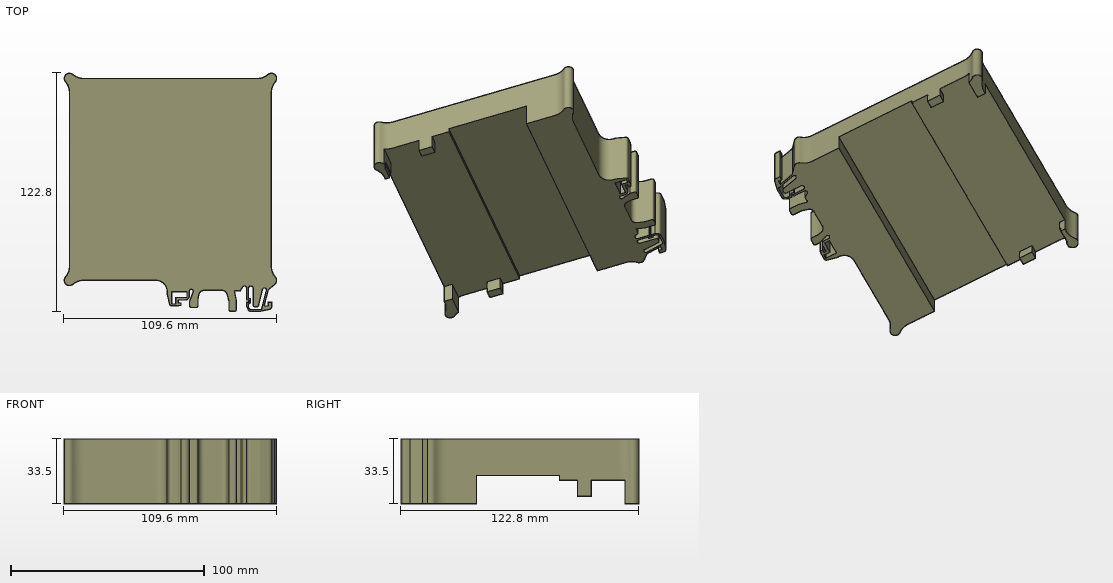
import cadquery as cq
import math

HEIGHT = 33.5
OUTER_HALF = 54.8
BEAD_RADIUS = 2.7
BODY_HALF = OUTER_HALF - BEAD_RADIUS
FLARE_LENGTH = 7.4

REAR_STEP_Z = 12.0
MIDDLE_STEP_Z = 14.5
TAB_BOTTOM_Z = 3.8
FRONT_BLOCK_Y = -29.0
MIDDLE_STEP_Y = 13.8

TAB_Y = (23.0, 30.2)
TAB_THICKNESS = 4.0
LEG_INNER_X = 43.2
LEFT_LEG_Y = 49.0
RIGHT_LEG_Y = 47.5
RECESS_OUTER_X = 50.5
RECESS_HEIGHT = 3.8
RECESS_DEPTH = 0.6

FOOT_LEFT_X = -1.7
FOOT_FILLET = 5.8
RAIL_TOP_Y = -57.2
LEDGE_Y = -57.5
FOOT_BOTTOM_Y = -68.0
SLOT_TOP_Y = -55.0
LATCH_SLOT_TOP_Y = -56.0


def rounded_outline(corners):
    """Closed outline through (x, y) corners; a third value rounds that corner to its radius."""
    arcs = []
    for i, corner in enumerate(corners):
        point = cq.Vector(corner[0], corner[1])
        if len(corner) == 2:
            arcs.append((point,))
            continue
        radius = corner[2]
        before = corners[i - 1]
        after = corners[(i + 1) % len(corners)]
        to_before = (cq.Vector(before[0], before[1]) - point).normalized()
        to_after = (cq.Vector(after[0], after[1]) - point).normalized()
        half_angle = to_before.getAngle(to_after) / 2
        tangent_length = radius / math.tan(half_angle)
        bisector = (to_before + to_after).normalized()
        middle = point + bisector * (radius / math.sin(half_angle) - radius)
        arcs.append((point + to_before * tangent_length, middle, point + to_after * tangent_length))

    outline = cq.Workplane("XY").moveTo(arcs[0][-1].x, arcs[0][-1].y)
    for arc in arcs[1:] + arcs[:1]:
        outline = outline.lineTo(arc[0].x, arc[0].y)
        if len(arc) == 3:
            outline = outline.threePointArc((arc[1].x, arc[1].y), (arc[2].x, arc[2].y))
    return outline.close()


def block(x_range, y_range, z_range):
    size = [high - low for low, high in (x_range, y_range, z_range)]
    corner = (x_range[0], y_range[0], z_range[0])
    return cq.Workplane("XY").box(*size, centered=False).translate(corner)


def corner_bead():
    """Bead on the +X +Y corner, with arcs running tangent from it into both flat sides."""
    flare_radius = (FLARE_LENGTH**2 - BEAD_RADIUS**2) / (2 * BEAD_RADIUS)
    centre_distance = flare_radius + BEAD_RADIUS
    tangent_along = FLARE_LENGTH * BEAD_RADIUS / centre_distance
    tangent_out = flare_radius * BEAD_RADIUS / centre_distance
    half_sweep = math.asin(FLARE_LENGTH / centre_distance) / 2
    sag_along = FLARE_LENGTH - flare_radius * math.sin(half_sweep)
    sag_out = flare_radius * (1 - math.cos(half_sweep))

    def on_top(along, out):
        return (BODY_HALF - along, BODY_HALF + out)

    def on_side(along, out):
        return (BODY_HALF + out, BODY_HALF - along)

    diagonal = BODY_HALF + BEAD_RADIUS * math.sqrt(0.5)
    return (
        cq.Workplane("XY")
        .moveTo(*on_top(FLARE_LENGTH, 0))
        .threePointArc(on_top(sag_along, sag_out), on_top(tangent_along, tangent_out))
        .threePointArc((diagonal, diagonal), on_side(tangent_along, tangent_out))
        .threePointArc(on_side(sag_along, sag_out), on_side(FLARE_LENGTH, 0))
        .lineTo(BODY_HALF - FLARE_LENGTH, BODY_HALF - FLARE_LENGTH)
        .close()
        .extrude(HEIGHT)
    )


def housing():
    side = 2 * BODY_HALF
    body = cq.Workplane("XY").box(side, side, HEIGHT, centered=(True, True, False))
    for quarter in range(4):
        body = body.union(corner_bead().rotate((0, 0, 0), (0, 0, 1), 90 * quarter))
    return body


def foot():
    fixed_hook = [
        (FOOT_LEFT_X - 2 * FOOT_FILLET, -BODY_HALF),
        (FOOT_LEFT_X, -BODY_HALF, FOOT_FILLET),
        (FOOT_LEFT_X, -59.2),
        (-0.2, -65.2, 1.2),
        (4.0, -65.2),
        (5.5, -65.0),
        (5.5, -63.7),
        (4.0, -63.5),
        (4.0, -62.3),
        (9.8, -62.3, 2.2),
    ]
    guide_post = [
        (9.8, -56.7, 0.9),
        (12.2, -56.7, 1.0),
        (9.8, -62.9),
        (9.8, -66.1, 1.0),
        (14.2, -66.1, 1.0),
        (14.2, -61.6),
    ]
    rail_recess_and_stop = [
        (15.2, RAIL_TOP_Y, 2.7),
        (28.6, RAIL_TOP_Y, 2.7),
        (30.1, -62.6),
        (30.1, FOOT_BOTTOM_Y, 1.0),
        (34.0, FOOT_BOTTOM_Y, 1.0),
        (34.0, -62.3),
        (33.0, LEDGE_Y),
    ]
    latch_outside = [
        (36.1, LEDGE_Y, 0.5),
        (37.5, SLOT_TOP_Y, 1.0),
        (39.3, SLOT_TOP_Y, 1.0),
        (39.3, -62.3),
        (40.3, -62.3),
        (40.3, -63.2),
        (39.3, -63.2),
        (39.3, -65.5),
        (40.4, FOOT_BOTTOM_Y, 1.6),
        (46.3, FOOT_BOTTOM_Y),
        (52.3, -66.8, 1.7),
        (52.3, -63.2),
        (50.3, -63.2),
        (50.3, -65.2),
        (48.4, -65.2),
        (50.5, -57.0),
        (53.8, -54.2),
        (BODY_HALF, -BODY_HALF),
    ]
    profile = rounded_outline(fixed_hook + guide_post + rail_recess_and_stop + latch_outside)
    return profile.extrude(HEIGHT)


def hook_pocket():
    """L-shaped opening inside the fixed hook."""
    corners = [(0.7, -58.0), (8.5, -58.0), (8.5, -60.8), (2.7, -60.8), (2.7, -64.2), (0.7, -64.2)]
    return rounded_outline(corners).extrude(HEIGHT)


def latch_slot():
    """U-shaped opening that frees the springy latch from the tongue between its two arms."""
    corners = [
        (40.3, SLOT_TOP_Y, 1.1),
        (42.6, SLOT_TOP_Y, 1.1),
        (42.6, -65.7, 1.0),
        (45.3, -65.7, 1.0),
        (47.6, LATCH_SLOT_TOP_Y, 1.0),
        (49.7, LATCH_SLOT_TOP_Y, 1.0),
        (46.9, -67.0),
        (40.3, -67.0, 1.5),
        (40.3, -64.2),
        (41.3, -63.7),
        (41.3, -61.3),
        (40.3, -61.3),
    ]
    return rounded_outline(corners).extrude(HEIGHT)


def underside_clearance():
    """Space below the raised underside, leaving the side tabs and the rear corner legs standing."""
    full_x = (-OUTER_HALF, OUTER_HALF)
    rear = block(full_x, (MIDDLE_STEP_Y, OUTER_HALF), (0, REAR_STEP_Z))
    middle = block(full_x, (FRONT_BLOCK_Y, MIDDLE_STEP_Y), (0, MIDDLE_STEP_Z))
    left_leg_x = (-OUTER_HALF, -LEG_INNER_X)
    right_leg_x = (LEG_INNER_X, OUTER_HALF)
    left_leg = block(left_leg_x, (LEFT_LEG_Y, OUTER_HALF), (0, REAR_STEP_Z))
    right_leg = block(right_leg_x, (RIGHT_LEG_Y, OUTER_HALF), (0, REAR_STEP_Z))
    recess_x = (-RECESS_OUTER_X, -LEG_INNER_X)
    recess_y = (LEFT_LEG_Y, LEFT_LEG_Y + RECESS_DEPTH)
    left_recess = block(recess_x, recess_y, (0, RECESS_HEIGHT))

    clearance = rear.union(middle).cut(left_leg).cut(right_leg).union(left_recess)
    tab_inner_x = BODY_HALF - TAB_THICKNESS
    for tab_x in ((-BODY_HALF, -tab_inner_x), (tab_inner_x, BODY_HALF)):
        clearance = clearance.cut(block(tab_x, TAB_Y, (TAB_BOTTOM_Z, REAR_STEP_Z)))
    return clearance


result = housing().union(foot()).cut(hook_pocket()).cut(latch_slot()).cut(underside_clearance())